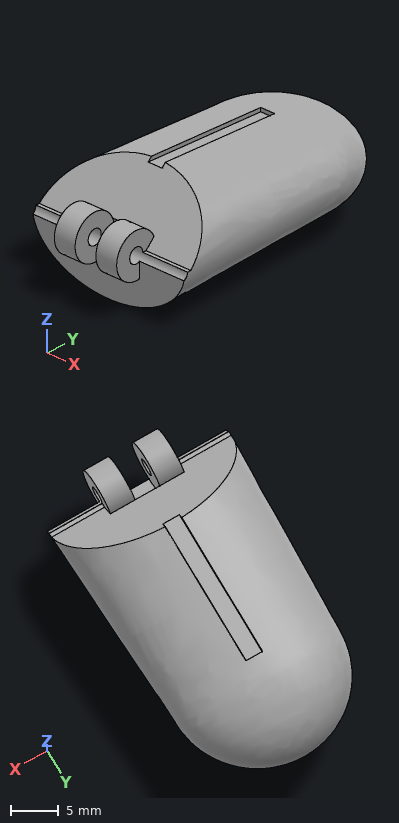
import cadquery as cq
import math


BODY_START_Y = 0.5
BODY_LENGTH = 25.0
BODY_END_Y = BODY_START_Y + BODY_LENGTH
HINGE_END_HALF_WIDTH = 11.0
HINGE_END_HALF_HEIGHT = 7.0
NOSE_END_HALF_WIDTH = 10.0
NOSE_END_HALF_HEIGHT = 6.0
NOSE_LENGTH = 10.0

SLOPE_ANGLE = 45.0
SLOPE_START_Y = 1.5

KNUCKLE_RADIUS = 3.0
PIN_RADIUS = 1.0
HINGE_WIDTH = 9.0
KNUCKLE_GAP = 3.0

GROOVE_WIDTH = 2.0
GROOVE_DEPTH = 0.55
GROOVE_END_Y = 24.9

CLEARANCE = 5.0


def cylinder_on_hinge_axis(radius, width):
    """Cylinder around the X axis, centred on X = 0."""
    return cq.Workplane("YZ").circle(radius).extrude(width / 2, both=True)


def make_body():
    """Tapered elliptical body."""
    return (
        cq.Workplane("XZ", origin=(0, BODY_START_Y, 0))
        .ellipse(HINGE_END_HALF_WIDTH, HINGE_END_HALF_HEIGHT)
        .workplane(offset=-BODY_LENGTH)
        .ellipse(NOSE_END_HALF_WIDTH, NOSE_END_HALF_HEIGHT)
        .loft(ruled=True)
    )


def make_nose():
    """Half ellipsoid that closes the narrow end of the body."""
    unit_half_ball = (
        cq.Workplane("XY")
        .lineTo(1, 0)
        .radiusArc((0, 1), -1)
        .close()
        .revolve(360, (0, 0), (0, 1))
        .val()
    )
    stretch = cq.Matrix(
        [
            [NOSE_END_HALF_WIDTH, 0, 0, 0],
            [0, NOSE_LENGTH, 0, BODY_END_Y],
            [0, 0, NOSE_END_HALF_HEIGHT, 0],
        ]
    )
    return cq.Workplane(unit_half_ball.transformGeometry(stretch))


def make_slope_cutter():
    """Wedge above Z = 0 that leaves the sloped face over the hinge."""
    wedge_height = HINGE_END_HALF_HEIGHT + CLEARANCE
    wedge_top_y = SLOPE_START_Y + wedge_height / math.tan(math.radians(SLOPE_ANGLE))
    return (
        cq.Workplane("YZ")
        .moveTo(-CLEARANCE, 0)
        .lineTo(SLOPE_START_Y, 0)
        .lineTo(wedge_top_y, wedge_height)
        .lineTo(-CLEARANCE, wedge_height)
        .close()
        .extrude(HINGE_END_HALF_WIDTH + CLEARANCE, both=True)
    )


def make_groove_cutter():
    """Slot of constant depth whose floor follows the taper of the body top."""
    start_floor_z = HINGE_END_HALF_HEIGHT - GROOVE_DEPTH
    taper_per_length = (HINGE_END_HALF_HEIGHT - NOSE_END_HALF_HEIGHT) / BODY_LENGTH
    end_floor_z = start_floor_z - taper_per_length * (GROOVE_END_Y - BODY_START_Y)
    top_z = HINGE_END_HALF_HEIGHT + CLEARANCE
    return (
        cq.Workplane("YZ")
        .moveTo(BODY_START_Y, start_floor_z)
        .lineTo(GROOVE_END_Y, end_floor_z)
        .lineTo(GROOVE_END_Y, top_z)
        .lineTo(BODY_START_Y, top_z)
        .close()
        .extrude(GROOVE_WIDTH / 2, both=True)
    )


body = make_body().union(make_nose())
body = body.cut(make_slope_cutter()).cut(make_groove_cutter())

body = body.union(cylinder_on_hinge_axis(KNUCKLE_RADIUS, HINGE_WIDTH))
body = body.cut(cylinder_on_hinge_axis(KNUCKLE_RADIUS, KNUCKLE_GAP))

pin_bore = cylinder_on_hinge_axis(PIN_RADIUS, 2 * (HINGE_END_HALF_WIDTH + CLEARANCE))
result = body.cut(pin_bore)